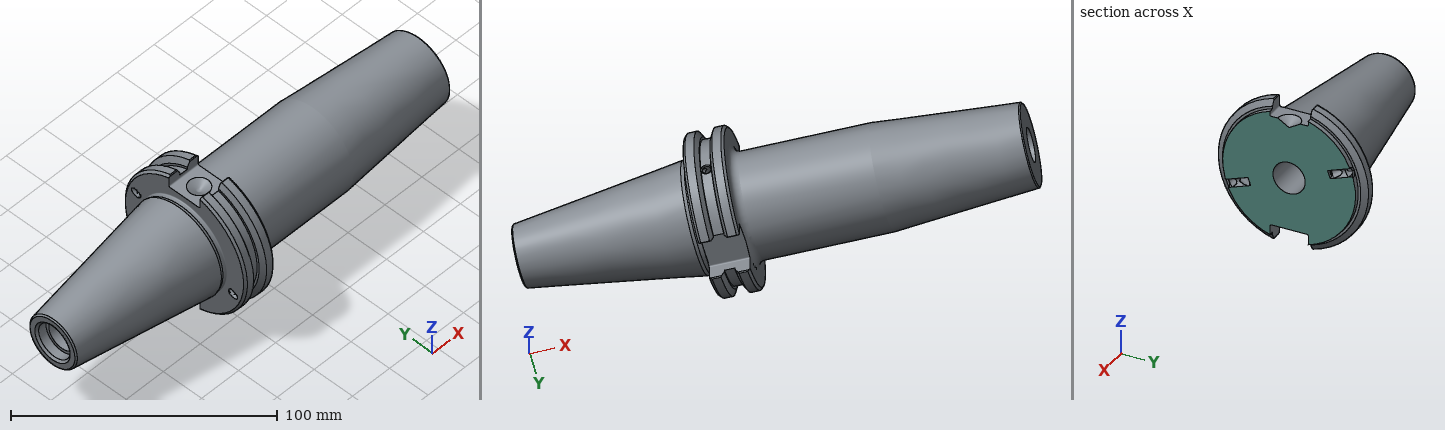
import cadquery as cq
import math


gauge_dia = 44.45
taper_length = 68.25
taper_ratio = 7 / 24
shank_end_chamfer = 0.6

neck_dia = 43.6
neck_start_x = 1.3
neck_fillet = 0.5

flange_dia = 63.5
flange_start_x = 3.18
flange_end_x = 19.05
flange_chamfer = 1.0
groove_center_x = 11.1
groove_root_dia = 56.36
groove_root_width = 4.1
groove_mouth_width = 7.0
groove_half_angle = 30.0

body_dia = 42.0
body_fillet = 3.0
nose_end_x = 130.0
nose_end_dia = 33.0
nose_half_angle = 4.5
nose_chamfer = 0.5

bore_dia = 13.39
counterbore_dia = 16.3
counterbore_depth = 5.0
counterbore_chamfer = 1.0

slot_width = 16.1
slot_rim_chamfer = 0.5
slot_floor_fillet = 0.6
upper_slot_floor_depth = 25.0
lower_slot_floor_depth = 22.6
dimple_dia = 9.53
dimple_point_angle = 118.0

channel_angle = 20.0
face_hole_dia = 3.24
face_hole_radius = 26.1
tilted_hole_radius = 27.0
tilted_hole_angle = 45.0
plug_hole_dia = 3.24
plug_countersink_dia = 4.2
plug_hole_end_radius = 18.0


def turned_body():
    """Outer shape: taper, neck, flange blank, body and nose in one revolve."""
    shank_end_x = -taper_length
    shank_end_radius = (gauge_dia - taper_length * taper_ratio) / 2
    shank_chamfer_radius = shank_end_radius + shank_end_chamfer * taper_ratio / 2
    neck_radius = neck_dia / 2
    flange_radius = flange_dia / 2
    body_radius = body_dia / 2
    nose_end_radius = nose_end_dia / 2
    nose_slope = math.tan(math.radians(nose_half_angle))
    nose_start_x = nose_end_x - (body_radius - nose_end_radius) / nose_slope
    return (
        cq.Workplane("XY")
        .moveTo(shank_end_x, 0)
        .lineTo(shank_end_x, shank_end_radius - shank_end_chamfer)
        .lineTo(shank_end_x + shank_end_chamfer, shank_chamfer_radius)
        .lineTo(0, gauge_dia / 2)
        .lineTo(neck_start_x, neck_radius)
        .lineTo(flange_start_x - neck_fillet, neck_radius)
        .radiusArc((flange_start_x, neck_radius + neck_fillet), -neck_fillet)
        .lineTo(flange_start_x, flange_radius - flange_chamfer)
        .lineTo(flange_start_x + flange_chamfer, flange_radius)
        .lineTo(flange_end_x - flange_chamfer, flange_radius)
        .lineTo(flange_end_x, flange_radius - flange_chamfer)
        .lineTo(flange_end_x, body_radius + body_fillet)
        .radiusArc((flange_end_x + body_fillet, body_radius), -body_fillet)
        .lineTo(nose_start_x, body_radius)
        .lineTo(nose_end_x - nose_chamfer, nose_end_radius + nose_chamfer * nose_slope)
        .lineTo(nose_end_x, nose_end_radius - nose_chamfer)
        .lineTo(nose_end_x, 0)
        .close()
        .revolve(360, (0, 0, 0), (1, 0, 0))
    )


def gripper_groove():
    """Ring that cuts the groove: sloping flanks above a straight-sided root."""
    root_radius = groove_root_dia / 2
    outer_radius = flange_dia / 2
    half_root = groove_root_width / 2
    half_mouth = groove_mouth_width / 2
    flank_depth = (half_mouth - half_root) / math.tan(math.radians(groove_half_angle))
    flank_end_radius = outer_radius - flank_depth
    return (
        cq.Workplane("XY")
        .moveTo(groove_center_x - half_mouth, outer_radius)
        .lineTo(groove_center_x - half_root, flank_end_radius)
        .lineTo(groove_center_x - half_root, root_radius)
        .lineTo(groove_center_x + half_root, root_radius)
        .lineTo(groove_center_x + half_root, flank_end_radius)
        .lineTo(groove_center_x + half_mouth, outer_radius)
        .close()
        .revolve(360, (0, 0, 0), (1, 0, 0))
    )


def central_bore():
    """Through bore with a chamfered counterbore at the shank end."""
    shank_end_x = -taper_length
    bore_radius = bore_dia / 2
    counterbore_radius = counterbore_dia / 2
    return (
        cq.Workplane("XY")
        .moveTo(shank_end_x, 0)
        .lineTo(shank_end_x, counterbore_radius + counterbore_chamfer)
        .lineTo(shank_end_x + counterbore_chamfer, counterbore_radius)
        .lineTo(shank_end_x + counterbore_depth, counterbore_radius)
        .lineTo(shank_end_x + counterbore_depth, bore_radius)
        .lineTo(nose_end_x, bore_radius)
        .lineTo(nose_end_x, 0)
        .close()
        .revolve(360, (0, 0, 0), (1, 0, 0))
    )


def drive_slot(floor_depth):
    """Cutter for the slot on the +Z side: rounded floor corners, flared rim edges.

    It runs past the flange into the fillets beside it, so the floor stays clear.
    """
    start_x = flange_start_x - neck_fillet
    length = flange_end_x + body_fillet - start_x
    half_width = slot_width / 2
    rim_z = math.sqrt((flange_dia / 2) ** 2 - half_width ** 2)
    flare_start_z = rim_z - slot_rim_chamfer
    top_z = flange_dia / 2
    half_flare = half_width + top_z - flare_start_z
    return (
        cq.Workplane("YZ", origin=(start_x, 0, 0))
        .moveTo(-half_width + slot_floor_fillet, floor_depth)
        .lineTo(half_width - slot_floor_fillet, floor_depth)
        .radiusArc((half_width, floor_depth + slot_floor_fillet), -slot_floor_fillet)
        .lineTo(half_width, flare_start_z)
        .lineTo(half_flare, top_z)
        .lineTo(-half_flare, top_z)
        .lineTo(-half_width, flare_start_z)
        .lineTo(-half_width, floor_depth + slot_floor_fillet)
        .radiusArc((-half_width + slot_floor_fillet, floor_depth), -slot_floor_fillet)
        .close()
        .extrude(length)
    )


def slot_dimple():
    """Conical drill point in the floor of the upper slot."""
    radius = dimple_dia / 2
    depth = radius / math.tan(math.radians(dimple_point_angle / 2))
    cone = cq.Solid.makeCone(
        radius, 0, depth,
        pnt=cq.Vector(groove_center_x, 0, upper_slot_floor_depth),
        dir=cq.Vector(0, 0, -1),
    )
    return cq.Workplane(obj=cone)


def coolant_channel(start_angle):
    """Plug hole in the groove, met by an axial and a tilted hole from the flange face."""
    along_x = cq.Vector(1, 0, 0)
    outward = cq.Vector(0, 1, 0)
    plug_mouth_radius = groove_root_dia / 2
    plug_hole = cq.Solid.makeCylinder(
        plug_hole_dia / 2, plug_mouth_radius - plug_hole_end_radius,
        cq.Vector(groove_center_x, plug_hole_end_radius, 0), outward,
    )
    countersink_depth = (plug_countersink_dia - plug_hole_dia) / 2
    countersink = cq.Solid.makeCone(
        plug_hole_dia / 2, plug_countersink_dia / 2, countersink_depth,
        cq.Vector(groove_center_x, plug_mouth_radius - countersink_depth, 0), outward,
    )
    face_to_plug = groove_center_x - flange_start_x
    axial_hole = cq.Solid.makeCylinder(
        face_hole_dia / 2, face_to_plug,
        cq.Vector(flange_start_x, face_hole_radius, 0), along_x,
    )
    tilt = math.radians(tilted_hole_angle)
    inward = cq.Vector(math.cos(tilt), -math.sin(tilt), 0)
    tilted_mouth = cq.Vector(flange_start_x, tilted_hole_radius, 0)
    overrun = face_hole_dia
    tilted_hole = cq.Solid.makeCylinder(
        face_hole_dia / 2, face_to_plug / math.cos(tilt) + overrun,
        tilted_mouth - inward * overrun, inward,
    )
    channel = cq.Workplane(obj=plug_hole)
    for hole in (countersink, axial_hole, tilted_hole):
        channel = channel.union(cq.Workplane(obj=hole))
    return channel.rotate((0, 0, 0), (1, 0, 0), start_angle)


result = turned_body().cut(gripper_groove()).cut(central_bore())
result = result.cut(drive_slot(upper_slot_floor_depth))
lower_slot = drive_slot(lower_slot_floor_depth).rotate((0, 0, 0), (1, 0, 0), 180)
result = result.cut(lower_slot)
result = result.cut(slot_dimple())
for start_angle in (channel_angle, channel_angle + 180):
    result = result.cut(coolant_channel(start_angle))